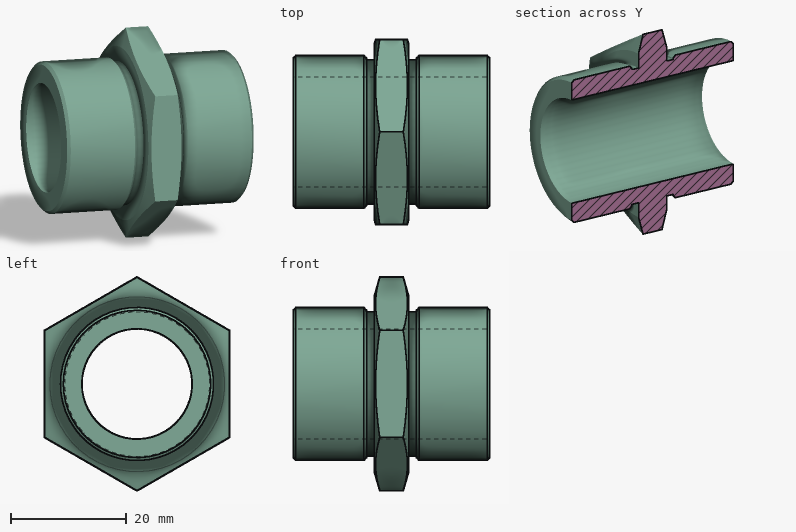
import cadquery as cq
import math

total_length = 34.0
bore_diameter = 19.0
thread_diameter = 26.44
thread_length = 12.7
thread_chamfer = 0.5
neck_diameter = 25.0

hex_across_flats = 32.0
hex_width = 6.0
hex_face_diameter = 30.2
hex_chamfer_angle = 16.0

hex_across_corners = hex_across_flats / math.cos(math.radians(30))
end_x = total_length / 2


def threaded_end(start_x):
    """Plain thread-sized cylinder, chamfered at both ends."""
    return (
        cq.Workplane("YZ", origin=(start_x, 0, 0))
        .circle(thread_diameter / 2)
        .extrude(thread_length)
        .faces("<X or >X")
        .chamfer(thread_chamfer)
    )


def neck():
    """Relief cylinder joining the threaded ends through the collar."""
    neck_length = total_length - 2 * thread_length
    return (
        cq.Workplane("YZ", origin=(-neck_length / 2, 0, 0))
        .circle(neck_diameter / 2)
        .extrude(neck_length)
    )


def hex_collar():
    """Hexagon whose corners are turned down by a shallow cone on each side."""
    prism = (
        cq.Workplane("YZ", origin=(-hex_width / 2, 0, 0))
        .polygon(6, hex_across_corners)
        .extrude(hex_width)
        .rotate((0, 0, 0), (1, 0, 0), 90)
    )
    half_width = hex_width / 2
    face_radius = hex_face_diameter / 2
    rim_radius = hex_across_corners / 2
    cone_depth = (rim_radius - face_radius) * math.tan(math.radians(hex_chamfer_angle))
    rim_x = half_width - cone_depth
    turned_envelope = (
        cq.Workplane("XY")
        .moveTo(-half_width, 0)
        .lineTo(-half_width, face_radius)
        .lineTo(-rim_x, rim_radius)
        .lineTo(rim_x, rim_radius)
        .lineTo(half_width, face_radius)
        .lineTo(half_width, 0)
        .close()
        .revolve(360, (0, 0, 0), (1, 0, 0))
    )
    return prism.intersect(turned_envelope)


def bore():
    """Through hole along the axis."""
    return (
        cq.Workplane("YZ", origin=(-end_x, 0, 0))
        .circle(bore_diameter / 2)
        .extrude(total_length)
    )


body = neck().union(hex_collar())
for thread_start_x in (-end_x, end_x - thread_length):
    body = body.union(threaded_end(thread_start_x))

result = body.cut(bore())